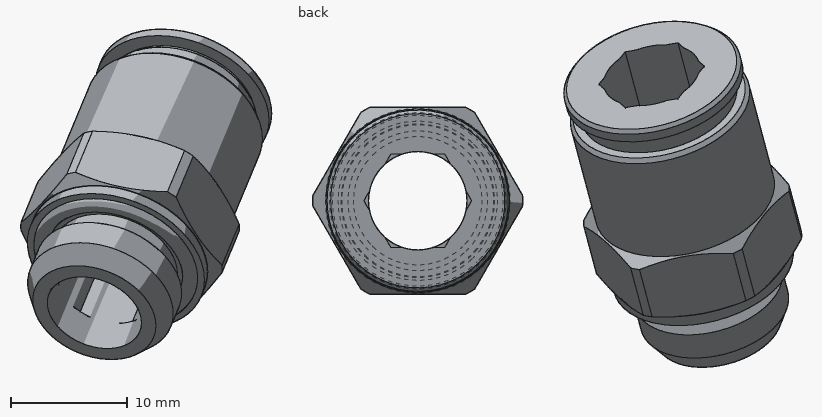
import cadquery as cq
import math

length = 27.55
tip_chamfer_end = 1.82
thread_end = 4.35
neck_start = 5.3
seal_face = 5.8
flange_start = 6.47
hex_start = 7.5
hex_end = 13.97
body_end = 24.5
collar_end = 26.23
release_ring_start = 26.42

bore_diameter = 8.4
neck_diameter = 11.0
thread_diameter = 13.0
collar_diameter = 13.65
seal_diameter = 14.6
release_ring_diameter = 15.5
hex_chamfer_diameter = 15.7
body_diameter = 15.7
flange_diameter = 15.8

hex_across_flats = 16.0
hex_corner_diameter = 18.0
hex_chamfer_angle = 30.0
socket_across_flats = 8.0
socket_start = 3.17

edge_chamfer = 0.3
body_chamfer = 0.39
collar_chamfer = 0.25
seal_round = flange_start - seal_face


def revolve_about_y(profile):
    """Turn a closed (radius, Y) profile into a solid about the Y axis."""
    return profile.close().revolve(360, (0, 0, 0), (0, 1, 0))


def hexagonal_prism(across_flats, start, end):
    """Hexagonal prism along Y with corners on the X axis."""
    corner_diameter = across_flats / math.cos(math.pi / 6)
    return (
        cq.Workplane("XZ", origin=(0, start, 0))
        .polygon(6, corner_diameter)
        .extrude(start - end)
    )


def turned_body():
    """Threaded tip, seal, flange, sleeve and release ring."""
    thread_radius = thread_diameter / 2
    neck_radius = neck_diameter / 2
    seal_radius = seal_diameter / 2
    flange_radius = flange_diameter / 2
    body_radius = body_diameter / 2
    collar_radius = collar_diameter / 2
    ring_radius = release_ring_diameter / 2
    profile = (
        cq.Workplane("XY")
        .lineTo(neck_radius, 0)
        .lineTo(thread_radius, tip_chamfer_end)
        .lineTo(thread_radius, thread_end)
        .lineTo(neck_radius, neck_start)
        .lineTo(neck_radius, flange_start)
        .lineTo(seal_radius - 2 * seal_round, flange_start)
        .threePointArc((seal_radius - seal_round, seal_face), (seal_radius, flange_start))
        .lineTo(flange_radius, flange_start)
        .lineTo(flange_radius, hex_start)
        .lineTo(body_radius, hex_start)
        .lineTo(body_radius, body_end - body_chamfer)
        .lineTo(body_radius - edge_chamfer, body_end)
        .lineTo(collar_radius, body_end)
        .lineTo(collar_radius, collar_end - collar_chamfer)
        .lineTo(collar_radius - collar_chamfer, collar_end)
        .lineTo(collar_radius - collar_chamfer, release_ring_start)
        .lineTo(ring_radius, release_ring_start)
        .lineTo(ring_radius, length - edge_chamfer)
        .lineTo(ring_radius - edge_chamfer, length)
        .lineTo(0, length)
    )
    return revolve_about_y(profile)


def wrench_hex():
    """Hexagon with rounded corners and conical chamfers at both ends."""
    corner_radius = hex_corner_diameter / 2
    end_radius = hex_chamfer_diameter / 2
    chamfer_length = (corner_radius - end_radius) * math.tan(math.radians(hex_chamfer_angle))
    envelope = (
        cq.Workplane("XY")
        .moveTo(0, hex_start)
        .lineTo(end_radius, hex_start)
        .lineTo(corner_radius, hex_start + chamfer_length)
        .lineTo(corner_radius, hex_end - chamfer_length)
        .lineTo(end_radius, hex_end)
        .lineTo(0, hex_end)
    )
    return hexagonal_prism(hex_across_flats, hex_start, hex_end).intersect(revolve_about_y(envelope))


bore = cq.Workplane("XZ").circle(bore_diameter / 2).extrude(-length)
socket = hexagonal_prism(socket_across_flats, socket_start, length)

result = turned_body().union(wrench_hex()).cut(bore).cut(socket)